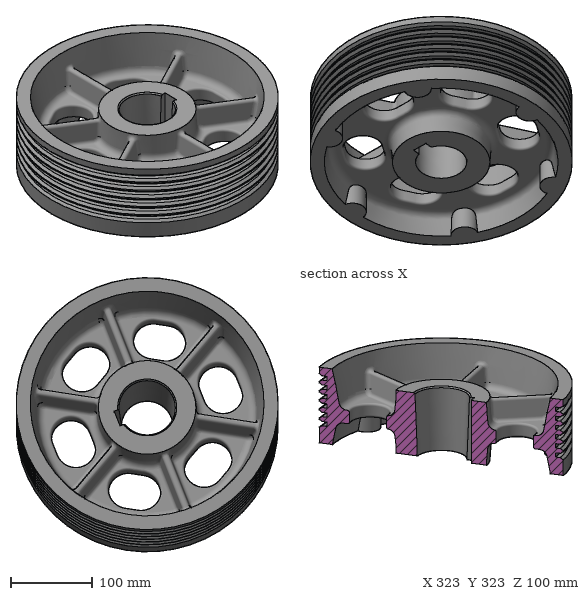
import cadquery as cq
import math

outer_radius = 323 / 2
height = 100
rim_mouth_radius = 144
rim_draft = 11.5
rim_fillet = 10

groove_count = 6
groove_pitch = 12
first_groove_z = 26
groove_floor_radius = 303 / 2
groove_floor_width = 5
groove_mouth_width = 10.25
groove_mouth_depth = 4

web_top = 48.3
web_bottom = 30

hub_top = 83
hub_bottom = 0
hub_end_radius = 60
hub_draft = 4
hub_fillet = 9

bore_top_radius = 34.7
bore_bottom_radius = 31.5
bore_chamfer = 1.7
keyway_width = 20
keyway_reach = 39.7

rib_count = 6
rib_pitch = 360 / rib_count
rib_top = 77
rib_draft = 9
rib_crest_width = 8
rib_crest_fillet = 3.9
rib_foot_fillet = 5
rib_overlap = 3
rib_seam_reach = 9.5

window_length = 64.5
window_width = 48.5
window_centre_radius = 97
window_fillet = 3

boss_radius = 17
boss_centre_radius = 146
boss_limit_radius = 150
boss_overlap = 1

level_margin = 0.5

hub_slope = math.tan(math.radians(hub_draft))
rim_slope = math.tan(math.radians(rim_draft))
hub_top_foot = hub_end_radius + (hub_top - web_top) * hub_slope
hub_bottom_foot = hub_end_radius + (web_bottom - hub_bottom) * hub_slope
rim_top_foot = rim_mouth_radius - (height - web_top) * rim_slope
rim_bottom_foot = rim_mouth_radius - web_bottom * rim_slope


def belt_surface():
    """(radius, z) points up the outside of the rim, stepping into each groove."""
    wall_radius = outer_radius - groove_mouth_depth
    half_floor = groove_floor_width / 2
    half_mouth = groove_mouth_width / 2
    points = [(outer_radius, 0)]
    for index in range(groove_count):
        z = first_groove_z + index * groove_pitch
        points += [
            (outer_radius, z - half_mouth),
            (wall_radius, z - half_floor),
            (groove_floor_radius, z - half_floor),
            (groove_floor_radius, z + half_floor),
            (wall_radius, z + half_floor),
            (outer_radius, z + half_mouth),
        ]
    points.append((outer_radius, height))
    return points


def make_wheel():
    """Rim, web and hub with the tapered bore, as one solid of revolution."""
    outline = belt_surface() + [
        (rim_mouth_radius, height),
        (rim_top_foot, web_top),
        (hub_top_foot, web_top),
        (hub_end_radius, hub_top),
        (bore_top_radius + bore_chamfer, hub_top),
        (bore_top_radius, hub_top - bore_chamfer),
        (bore_bottom_radius, hub_bottom),
        (hub_end_radius, hub_bottom),
        (hub_bottom_foot, web_bottom),
        (rim_bottom_foot, web_bottom),
        (rim_mouth_radius, 0),
    ]
    wheel = cq.Workplane("XZ").polyline(outline).close().revolve(360, (0, 0, 0), (0, 1, 0))
    return wheel.rotate((0, 0, 0), (0, 0, 1), rib_pitch / 2)


def fillet_ring(wheel, radius, z, size):
    """Round the inner corner of the given radius and level."""
    tolerance = 0.01
    circles = wheel.edges("%CIRCLE").vals()
    corner = [c for c in circles if math.hypot(c.radius() - radius, c.Center().z - z) < tolerance]
    return wheel.newObject(corner).fillet(size)


def round_corners(wheel):
    """Round the four corners where hub and rim meet the web."""
    wheel = fillet_ring(wheel, rim_top_foot, web_top, rim_fillet)
    wheel = fillet_ring(wheel, hub_top_foot, web_top, hub_fillet)
    wheel = fillet_ring(wheel, rim_bottom_foot, web_bottom, rim_fillet)
    return fillet_ring(wheel, hub_bottom_foot, web_bottom, hub_fillet)


def is_window_edge(edge):
    """Whether an edge runs around a window at the top or bottom of the web."""
    centre = edge.Center()
    radius = math.hypot(centre.x, centre.y)
    to_web_face = min(abs(centre.z - web_top), abs(centre.z - web_bottom))
    outer_limit = window_centre_radius + window_width / 2 + 1
    return to_web_face < window_fillet and hub_end_radius < radius < outer_limit


def cut_windows(wheel):
    """Slots through the web, rounded at both ends."""
    windows = (
        cq.Workplane("XY", origin=(0, 0, hub_bottom))
        .polarArray(window_centre_radius, rib_pitch / 2, 360, rib_count)
        .slot2D(window_length, window_width, 90)
        .extrude(hub_top - hub_bottom)
    )
    wheel = wheel.cut(windows)
    window_edges = [edge for edge in wheel.edges().vals() if is_window_edge(edge)]
    return wheel.newObject(window_edges).fillet(window_fillet)


def cut_keyway(wheel):
    """Straight keyway on the +Y side of the bore."""
    keyway = (
        cq.Workplane("XY", origin=(0, 0, hub_bottom))
        .rect(keyway_width, keyway_reach, centered=(True, False))
        .extrude(hub_top - hub_bottom)
    )
    return wheel.cut(keyway)


def add_bosses(wheel):
    """Round bosses standing between the web and the bottom of the rim."""
    boss_height = web_bottom + boss_overlap
    limit = cq.Workplane("XY").circle(boss_limit_radius).extrude(boss_height)
    boss = (
        cq.Workplane("XY")
        .center(boss_centre_radius, 0)
        .circle(boss_radius)
        .extrude(boss_height)
        .intersect(limit)
    )
    for index in range(rib_count):
        wheel = wheel.union(boss.rotate((0, 0, 0), (0, 0, 1), index * rib_pitch))
    return wheel


def make_rib():
    """Drafted rib along +X with a rounded crest, running from hub to rim."""
    root_z = (web_top + web_bottom) / 2
    half_crest = rib_crest_width / 2
    half_root = half_crest + (rib_top - root_z) * math.tan(math.radians(rib_draft))
    start = hub_end_radius - rib_overlap
    end = rim_mouth_radius + rib_overlap
    return (
        cq.Workplane("YZ", origin=(start, 0, 0))
        .polyline([
            (-half_root, root_z),
            (half_root, root_z),
            (half_crest, rib_top),
            (-half_crest, rib_top),
        ])
        .close()
        .extrude(end - start)
        .edges("|X and >Z")
        .fillet(rib_crest_fillet)
    )


def is_rib_seam(edge):
    """Whether an edge lies where a rib meets the hub, the web or the rim."""
    centre = edge.Center()
    radius = math.hypot(centre.x, centre.y)
    half_pitch = rib_pitch / 2
    turn = (math.degrees(math.atan2(centre.y, centre.x)) + half_pitch) % rib_pitch - half_pitch
    aside = abs(radius * math.sin(math.radians(turn)))
    on_web = abs(centre.z - web_top) < level_margin
    at_end = radius < hub_top_foot + hub_fillet or radius > rim_top_foot - rim_fillet
    between = hub_end_radius - rib_overlap < radius < rim_mouth_radius
    at_level = web_top - level_margin < centre.z < rib_top + level_margin
    return between and at_level and aside < rib_seam_reach and (on_web or at_end)


def add_ribs(wheel):
    """Ribs on top of the web, rounded where they join the wheel."""
    rib = make_rib()
    for index in range(rib_count):
        wheel = wheel.union(rib.rotate((0, 0, 0), (0, 0, 1), index * rib_pitch))
    seam = [edge for edge in wheel.edges().vals() if is_rib_seam(edge)]
    return wheel.newObject(seam).fillet(rib_foot_fillet)


wheel = round_corners(make_wheel())
wheel = cut_windows(wheel)
wheel = cut_keyway(wheel)
wheel = add_bosses(wheel)
result = add_ribs(wheel)